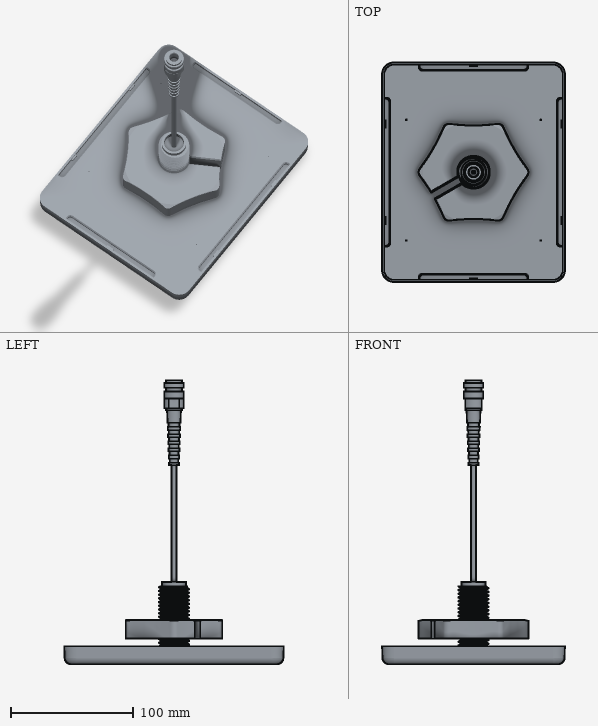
import cadquery as cq
import math

total_height = 233.0
tray_length_x = 150.0
tray_length_y = 180.0
tray_height = 15.0

tray_corner_radius = 10.0
tray_draft = 2.0
tray_bottom_fillet = 5.5
rim_width = 1.9
plate_thickness = 3.5
plate_bottom = tray_height - plate_thickness
plate_length_x = tray_length_x - 2 * rim_width
plate_length_y = tray_length_y - 2 * rim_width
plate_corner_radius = tray_corner_radius - rim_width

pocket_depth = 2.3
pocket_width = 5.1
pocket_corner_radius = 3.5
pocket_bevel = 1.0
end_pocket_length = 90.0
side_pocket_length = 122.0
tab_length = 6.0
tab_reach = 1.5
tab_drop = 1.0
side_tab_y = 39.5

mark_radius = 0.35
mark_depth = 1.2
mark_x = 55.0
mark_upper_y = 42.9
mark_lower_y = -56.0

stud_top = 67.5
stud_root_radius = 10.5
stud_neck_radius = 10.0
stud_recess_radius = 8.2
stud_recess_depth = 5.0
stud_recess_floor = stud_top - stud_recess_depth
thread_top = 63.8
thread_radius = 12.5
thread_pitch = 3.0
thread_base = 2.8
thread_start = 5.0
thread_inner_radius = 10.0

nut_bottom = 21.0
nut_top = 36.5
nut_corner_reach = 46.4
nut_flat_reach = 38.5
nut_corner_fillet = 4.7
nut_bore_radius = 12.8
nut_bore_chamfer = 0.7
nut_edge_chamfer = 0.35
nut_face_radius = 41.5
nut_corner_drop = 1.2
slot_width = 5.5
slot_bevel = 1.0
slot_angle = 210.0

grommet_radius = 4.5
cable_radius = 2.21

boot_bottom = 163.3
boot_top = 208.3
boot_bottom_radius = 4.2
boot_top_radius = 5.8
boot_groove_depth = 0.7
boot_groove_count = 6
boot_groove_height = 3.3
boot_groove_pitch = 5.8
boot_first_groove = 165.5

connector_radius = 8.2
connector_neck_radius = 6.8
flats_half_width = 6.87
flats_bottom = 209.7
flats_top = 217.5
shoulder_chamfer = 0.35
body_top = 223.6
collar_bottom = 226.5
collar_top = 230.6
socket_radius = 3.7
socket_depth = 9.3
socket_chamfer = 0.5
insulator_top = total_height - socket_depth
insulator_thickness = 4.7
insulator_bottom = insulator_top - insulator_thickness
contact_radius = 1.5
contact_height = 2.3
contact_chamfer = 0.7


def cylinder(radius, bottom, top):
    return cq.Workplane("XY").workplane(offset=bottom).circle(radius).extrude(top - bottom)


def rounded_plate(length_x, length_y, radius, bottom, top):
    block = cq.Workplane("XY").workplane(offset=bottom).rect(length_x, length_y).extrude(top - bottom)
    return block.edges("|Z").fillet(radius)


def make_tray():
    outline = cq.Sketch().rect(tray_length_x, tray_length_y).vertices().fillet(tray_corner_radius)
    tray = (
        cq.Workplane("XY").workplane(offset=tray_height)
        .placeSketch(outline).extrude(-tray_height, taper=tray_draft)
        .faces("<Z").edges().fillet(tray_bottom_fillet)
    )
    seat = rounded_plate(plate_length_x, plate_length_y, plate_corner_radius, plate_bottom, tray_height)
    tray = tray.cut(seat)

    tab_bottom = tray_height - pocket_depth
    tab_height = pocket_depth - tab_drop
    tab_depth = tab_reach + rim_width / 2
    for side in (-1, 1):
        end_y = side * (plate_length_y / 2 - tab_reach + tab_depth / 2)
        end_tab = cq.Workplane("XY").box(tab_length, tab_depth, tab_height, centered=(True, True, False))
        tray = tray.union(end_tab.translate((0, end_y, tab_bottom)))
        side_x = side * (plate_length_x / 2 - tab_reach + tab_depth / 2)
        for tab_y in (-side_tab_y, side_tab_y):
            side_tab = cq.Workplane("XY").box(tab_depth, tab_length, tab_height, centered=(True, True, False))
            tray = tray.union(side_tab.translate((side_x, tab_y, tab_bottom)))
    return tray


def pocket_layer(length, width, radius, depth, taper):
    outline = cq.Sketch().rect(length, width).vertices().fillet(radius)
    return cq.Workplane("XY").placeSketch(outline).extrude(-depth, taper=taper)


def edge_pocket(length, edge_distance, angle):
    full_width = 2 * pocket_width
    bevel = pocket_layer(length, full_width, pocket_corner_radius, pocket_bevel, 45)
    well = pocket_layer(
        length - 2 * pocket_bevel,
        full_width - 2 * pocket_bevel,
        pocket_corner_radius - pocket_bevel,
        pocket_depth,
        0,
    )
    cutter = bevel.union(well)
    return cutter.translate((0, edge_distance, tray_height)).rotate((0, 0, 0), (0, 0, 1), angle)


def make_threaded_core():
    bottom = thread_start - thread_pitch
    top = thread_top + 2 * thread_pitch
    path = cq.Wire.makeHelix(thread_pitch, top - thread_start, stud_root_radius)
    ridge = (
        cq.Workplane("XZ")
        .polyline([
            (thread_inner_radius, -thread_base / 2),
            (thread_radius, 0),
            (thread_inner_radius, thread_base / 2),
        ])
        .close()
        .sweep(cq.Workplane(path), isFrenet=True)
        .translate((0, 0, thread_start))
    )
    core = cylinder(stud_root_radius, bottom, top + thread_pitch).union(ridge)
    return core.intersect(cylinder(2 * thread_radius, tray_height, thread_top))


def make_back_plate():
    plate = rounded_plate(plate_length_x, plate_length_y, plate_corner_radius, plate_bottom, tray_height)
    for angle in (0, 180):
        plate = plate.cut(edge_pocket(end_pocket_length, plate_length_y / 2, angle))
        plate = plate.cut(edge_pocket(side_pocket_length, plate_length_x / 2, angle + 90))
    for x in (-mark_x, mark_x):
        for y in (mark_lower_y, mark_upper_y):
            mark = cylinder(mark_radius, tray_height - mark_depth, tray_height)
            plate = plate.cut(mark.translate((x, y, 0)))

    plate = plate.union(make_threaded_core())
    plate = plate.union(cylinder(stud_neck_radius, thread_top, stud_top))
    plate = plate.cut(cylinder(stud_recess_radius, stud_recess_floor, stud_top))
    return plate.cut(cylinder(grommet_radius, plate_bottom, stud_recess_floor))


def polar(radius, degrees):
    angle = math.radians(degrees)
    return (radius * math.cos(angle), radius * math.sin(angle))


def make_nut_slot():
    half_width = slot_width / 2
    bevel_bottom = nut_top - slot_bevel
    slot = (
        cq.Workplane("YZ")
        .polyline([
            (-half_width, nut_bottom),
            (half_width, nut_bottom),
            (half_width, bevel_bottom),
            (half_width + slot_bevel, nut_top),
            (-half_width - slot_bevel, nut_top),
            (-half_width, bevel_bottom),
        ])
        .close().extrude(nut_corner_reach)
    )
    return slot.rotate((0, 0, 0), (0, 0, 1), slot_angle)


def make_nut():
    outline = cq.Workplane("XY").workplane(offset=nut_bottom).moveTo(nut_corner_reach, 0)
    for corner in range(0, 360, 60):
        outline = outline.threePointArc(polar(nut_flat_reach, corner + 30), polar(nut_corner_reach, corner + 60))
    height = nut_top - nut_bottom
    nut = outline.close().extrude(height).edges("|Z").fillet(nut_corner_fillet)

    nut = nut.faces("<Z or >Z").edges().chamfer(nut_edge_chamfer)

    bore = cylinder(nut_bore_radius, nut_bottom, nut_top)
    nut = nut.cut(bore)
    nut = nut.edges(cq.selectors.RadiusNthSelector(0)).edges("<Z or >Z").chamfer(nut_bore_chamfer)
    nut = nut.cut(make_nut_slot())

    slope = nut_corner_drop / (nut_corner_reach - nut_face_radius)
    cone_reach = nut_face_radius + height / slope
    cone = (
        cq.Workplane("XZ")
        .polyline([(0, nut_bottom), (cone_reach, nut_bottom), (nut_face_radius, nut_top), (0, nut_top)])
        .close().revolve()
    )
    return nut.intersect(cone)


def make_grommet():
    return cylinder(grommet_radius, plate_bottom, stud_recess_floor).cut(make_cable())


def make_cable():
    return cylinder(cable_radius, plate_bottom, boot_top)


def boot_radius(z):
    share = (z - boot_bottom) / (boot_top - boot_bottom)
    return boot_bottom_radius + share * (boot_top_radius - boot_bottom_radius)


def make_boot():
    points = [(cable_radius, boot_bottom), (boot_radius(boot_bottom), boot_bottom)]
    for index in range(boot_groove_count):
        low = boot_first_groove + index * boot_groove_pitch
        high = low + boot_groove_height
        points += [
            (boot_radius(low), low),
            (boot_radius(low) - boot_groove_depth, low),
            (boot_radius(high) - boot_groove_depth, high),
            (boot_radius(high), high),
        ]
    points += [(boot_radius(boot_top), boot_top), (cable_radius, boot_top)]
    return cq.Workplane("XZ").polyline(points).close().revolve()


def make_connector():
    connector = cylinder(connector_neck_radius, boot_top, total_height)
    connector = connector.union(cylinder(connector_radius, flats_bottom, flats_top))
    for bottom, top in ((flats_top, body_top), (collar_bottom, collar_top)):
        shoulder = cylinder(connector_radius, bottom, top).faces("<Z or >Z").edges().chamfer(shoulder_chamfer)
        connector = connector.union(shoulder)

    flats_height = flats_top - flats_bottom
    for side in (-1, 1):
        flat = cq.Workplane("XY").box(connector_radius, 2 * connector_radius, flats_height)
        flat_x = side * (flats_half_width + connector_radius / 2)
        connector = connector.cut(flat.translate((flat_x, 0, flats_bottom + flats_height / 2)))
    connector = connector.cut(cylinder(socket_radius, insulator_bottom, total_height))
    return connector.faces(">Z").edges(cq.selectors.RadiusNthSelector(0)).chamfer(socket_chamfer)


def make_contact():
    contact = cylinder(contact_radius, insulator_bottom, insulator_top + contact_height)
    return contact.faces(">Z").edges().chamfer(contact_chamfer)


def make_insulator():
    return cylinder(socket_radius, insulator_bottom, insulator_top).cut(make_contact())


tray = make_tray()
back_plate = make_back_plate()
nut = make_nut()
grommet = make_grommet()
cable = make_cable()
boot = make_boot()
connector = make_connector()
insulator = make_insulator()
contact = make_contact()

result = cq.Compound.makeCompound([
    tray.val(),
    back_plate.val(),
    nut.val(),
    grommet.val(),
    cable.val(),
    boot.val(),
    connector.val(),
    insulator.val(),
    contact.val(),
])